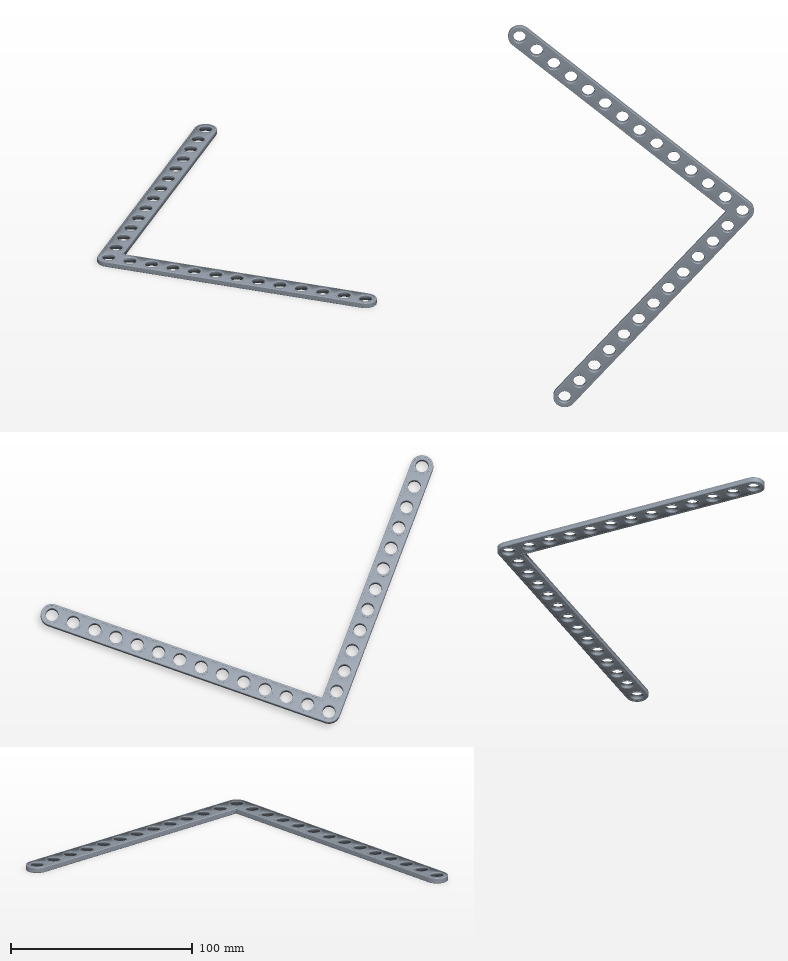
import cadquery as cq

long_side = 175.0
holes_long = 14
holes_short = 13
thickness = 3.2
hole_diameter = 7.0
rim_width = 1.1
recess_depth = 0.2
edge_chamfer = 0.3

pitch = long_side / holes_long
arm_width = pitch

collar_diameter = hole_diameter + 2 * rim_width

hole_centers = [(i * pitch, 0) for i in range(holes_short)]
hole_centers += [(0, i * pitch) for i in range(1, holes_long)]


def arm(hole_count, angle, width, height):
    """Round-ended bar centred on a row of holes from the corner hole, turned about Z by angle."""
    span = (hole_count - 1) * pitch
    return (
        cq.Workplane("XY")
        .center(span / 2, 0)
        .slot2D(span + width, width)
        .extrude(height)
        .rotate((0, 0, 0), (0, 0, 1), angle)
    )


def angle_plate(width, height):
    """L-shaped plate with arms along +X and +Y."""
    short_arm = arm(holes_short, 0, width, height)
    long_arm = arm(holes_long, 90, width, height)
    return short_arm.union(long_arm).clean()


def face_recess():
    """Shallow area inside the rim, leaving a full-height collar around each hole."""
    collars = cq.Workplane("XY").pushPoints(hole_centers).circle(collar_diameter / 2).extrude(recess_depth)
    return angle_plate(arm_width - 2 * rim_width, recess_depth).cut(collars)


def chamfered_hole():
    """Cutter for one through hole, flared at 45 degrees on both faces."""
    hole_radius = hole_diameter / 2
    flared_radius = hole_radius + edge_chamfer
    half_profile = [
        (0, 0),
        (flared_radius, 0),
        (hole_radius, edge_chamfer),
        (hole_radius, thickness - edge_chamfer),
        (flared_radius, thickness),
        (0, thickness),
    ]
    return cq.Workplane("XZ").polyline(half_profile).close().revolve(360, (0, 0), (0, 1)).val()


plate = angle_plate(arm_width, thickness).faces("<Z or >Z").edges().chamfer(edge_chamfer)

recess = face_recess()
for recess_bottom in (0, thickness - recess_depth):
    plate = plate.cut(recess.translate((0, 0, recess_bottom)))

hole = chamfered_hole()
holes = cq.Workplane("XY").pushPoints(hole_centers).eachpoint(lambda place: hole.moved(place))
result = plate.cut(holes)